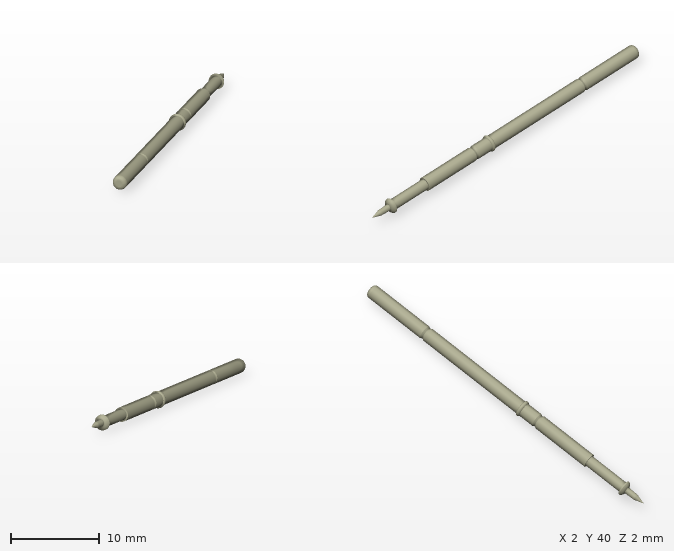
import cadquery as cq

total_length = 40.0

needle_length = 1.2
shaft_front_diameter = 0.7
shaft_back_diameter = 0.82

head_front = 2.5
head_length = 0.5
head_rim_length = 0.15
head_diameter = 1.8
head_front_diameter = shaft_back_diameter
head_dome_radius = 0.6

plunger_diameter = 1.3

tube_front = 8.0
tube_diameter = 1.67
tail_radius = 0.45

ring_diameter = 2.0
ring_width = 0.5
ring_center = 17.75

groove_width = 0.5
groove_depth = 0.14
groove_centers = (15.4, 31.8)


def y_at(distance_from_tip):
    """Y position of a point given by its distance behind the needle tip."""
    return total_length - distance_from_tip


def revolve_about_y(profile):
    """Turn a closed half profile, drawn with X as radius, about the Y axis."""
    return profile.close().revolve(360, (0, 0, 0), (0, 1, 0))


def cylinder(diameter, front, back):
    """Solid cylinder along Y between two distances behind the needle tip."""
    radius = diameter / 2
    profile = (
        cq.Workplane("XY")
        .moveTo(0, y_at(back))
        .lineTo(radius, y_at(back))
        .lineTo(radius, y_at(front))
        .lineTo(0, y_at(front))
    )
    return revolve_about_y(profile)


def needle():
    """Conical tip on a slightly tapered shaft that ends inside the head."""
    shaft_back = head_front + head_length
    profile = (
        cq.Workplane("XY")
        .moveTo(0, y_at(shaft_back))
        .lineTo(shaft_back_diameter / 2, y_at(shaft_back))
        .lineTo(shaft_front_diameter / 2, y_at(needle_length))
        .lineTo(0, y_at(0))
    )
    return revolve_about_y(profile)


def head():
    """Head with a short straight rim and a convex dome in front."""
    rim_radius = head_diameter / 2
    front_radius = head_front_diameter / 2
    back_y = y_at(head_front + head_length)
    rim_y = back_y + head_rim_length
    front_y = y_at(head_front)
    profile = (
        cq.Workplane("XY")
        .moveTo(0, back_y)
        .lineTo(rim_radius, back_y)
        .lineTo(rim_radius, rim_y)
        .radiusArc((front_radius, front_y), -head_dome_radius)
        .lineTo(0, front_y)
    )
    return revolve_about_y(profile)


def tube():
    """Receptacle tube with a rounded tail edge."""
    blank = cylinder(tube_diameter, tube_front, total_length)
    return blank.faces("<Y").edges().fillet(tail_radius)


def press_ring():
    """Ring with a half-round outer edge."""
    outer_radius = ring_diameter / 2
    shoulder_radius = outer_radius - ring_width / 2
    center_y = y_at(ring_center)
    back_y = center_y - ring_width / 2
    front_y = center_y + ring_width / 2
    profile = (
        cq.Workplane("XY")
        .moveTo(0, back_y)
        .lineTo(shoulder_radius, back_y)
        .threePointArc((outer_radius, center_y), (shoulder_radius, front_y))
        .lineTo(0, front_y)
    )
    return revolve_about_y(profile)


def groove_cutter(center):
    """Ring-shaped cutter leaving a V-shaped groove."""
    tube_radius = tube_diameter / 2
    center_y = y_at(center)
    profile = (
        cq.Workplane("XY")
        .moveTo(tube_radius, center_y - groove_width / 2)
        .lineTo(tube_radius - groove_depth, center_y)
        .lineTo(tube_radius, center_y + groove_width / 2)
        .lineTo(ring_diameter / 2, center_y + groove_width / 2)
        .lineTo(ring_diameter / 2, center_y - groove_width / 2)
    )
    return revolve_about_y(profile)


plunger = cylinder(plunger_diameter, head_front + head_length, tube_front)

result = tube().union(press_ring()).union(plunger).union(head()).union(needle())
for groove_center in groove_centers:
    result = result.cut(groove_cutter(groove_center))